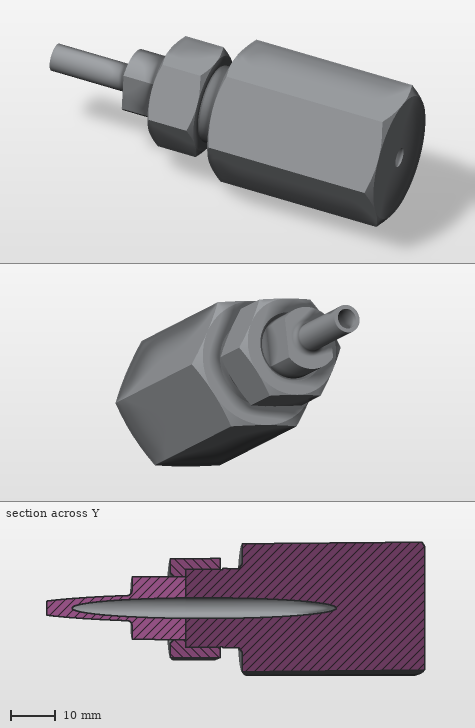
import cadquery as cq
import math

ROLL = -6.7
SWING = 4.4

COLLAR_START = 19.0
NUT_START = 27.6
NUT_END = 38.9
NECK_SHOULDER = 39.3
BODY_START = 43.7
BODY_END = 84.55

TUBE_DIAMETER = 6.3
BORE_DIAMETER = 4.5
TUBE_FILLET = 0.9
COLLAR_DIAMETER = 14.3
COLLAR_FLATS = 11.1

NUT_ACROSS_FLATS = 22.2
NUT_COUNTERSINK = 0.8

BODY_ACROSS_FLATS = 28.6
NECK_DIAMETER = 17.9
NECK_ROOT_LENGTH = 0.8
NECK_ROOT_RISE = 1.0
SPIGOT_DIAMETER = 17.4
SPIGOT_INSERTION = 7.7

HEXAGON_SIDES = 6
CORNER_ANGLE = 30.0

FLATS_END = NUT_START + NUT_COUNTERSINK
SPIGOT_START = NUT_END - SPIGOT_INSERTION


def cylinder(start, end, diameter):
    """Round bar along X between two stations."""
    return cq.Workplane("YZ", origin=(start, 0, 0)).circle(diameter / 2).extrude(end - start)


def hexagon(start, end, across_flats):
    """Hexagonal bar along X whose chamfered corners leave end faces as wide as the flats."""
    across_corners = across_flats / math.cos(math.pi / HEXAGON_SIDES)
    bar = cq.Workplane("YZ", origin=(start, 0, 0)).polygon(HEXAGON_SIDES, across_corners).extrude(end - start)
    rise = (across_corners - across_flats) / 2
    run = rise * math.tan(math.radians(CORNER_ANGLE))
    envelope = (
        cq.Workplane("XY")
        .moveTo(start, 0)
        .lineTo(start, across_flats / 2)
        .lineTo(start + run, across_corners / 2)
        .lineTo(end - run, across_corners / 2)
        .lineTo(end, across_flats / 2)
        .lineTo(end, 0)
        .close()
        .revolve(360, (0, 0, 0), (1, 0, 0))
    )
    return bar.intersect(envelope)


def place(solid):
    """Roll a body about the common axis, swing it about Z and return its solid."""
    rolled = solid.rotate((0, 0, 0), (1, 0, 0), ROLL)
    return rolled.rotate((0, 0, 0), (0, 0, 1), SWING).solids().val()


def make_stem():
    """Bored tube on a round collar that has two wrench flats ahead of the nut."""
    flatted = cylinder(COLLAR_START, FLATS_END, COLLAR_DIAMETER).intersect(
        cq.Workplane("YZ", origin=(COLLAR_START, 0, 0))
        .rect(COLLAR_FLATS, COLLAR_DIAMETER)
        .extrude(FLATS_END - COLLAR_START)
    )
    stem = flatted.union(cylinder(FLATS_END, SPIGOT_START, COLLAR_DIAMETER))
    stem = stem.union(cylinder(0, COLLAR_START, TUBE_DIAMETER))
    tube_root = stem.edges(cq.selectors.RadiusNthSelector(0)).edges(">X")
    stem = tube_root.fillet(TUBE_FILLET)
    return stem.cut(cylinder(0, SPIGOT_START, BORE_DIAMETER))


def make_nut():
    """Hexagon nut around the stem, countersunk in front and counterbored for the body spigot."""
    nut = hexagon(NUT_START, NUT_END, NUT_ACROSS_FLATS)
    nut = nut.cut(cylinder(NUT_START, NUT_END, COLLAR_DIAMETER))
    bore_mouth = nut.faces("<X").edges(cq.selectors.RadiusNthSelector(0))
    nut = bore_mouth.chamfer(NUT_COUNTERSINK)
    return nut.cut(cylinder(SPIGOT_START, NUT_END, SPIGOT_DIAMETER))


def make_body():
    """Hexagon body with a neck and a narrower spigot that enters the nut."""
    neck_radius = NECK_DIAMETER / 2
    spigot_radius = SPIGOT_DIAMETER / 2
    neck = (
        cq.Workplane("XY")
        .moveTo(SPIGOT_START, 0)
        .lineTo(SPIGOT_START, spigot_radius)
        .lineTo(NECK_SHOULDER, spigot_radius)
        .lineTo(NECK_SHOULDER, neck_radius)
        .lineTo(BODY_START - NECK_ROOT_LENGTH, neck_radius)
        .lineTo(BODY_START, neck_radius + NECK_ROOT_RISE)
        .lineTo(BODY_START, 0)
        .close()
        .revolve(360, (0, 0, 0), (1, 0, 0))
    )
    body = hexagon(BODY_START, BODY_END, BODY_ACROSS_FLATS).union(neck)
    return body.cut(cylinder(SPIGOT_START, BODY_END, BORE_DIAMETER))


stem = place(make_stem())
nut = place(make_nut())
body = place(make_body())

result = cq.Compound.makeCompound([stem, nut, body])